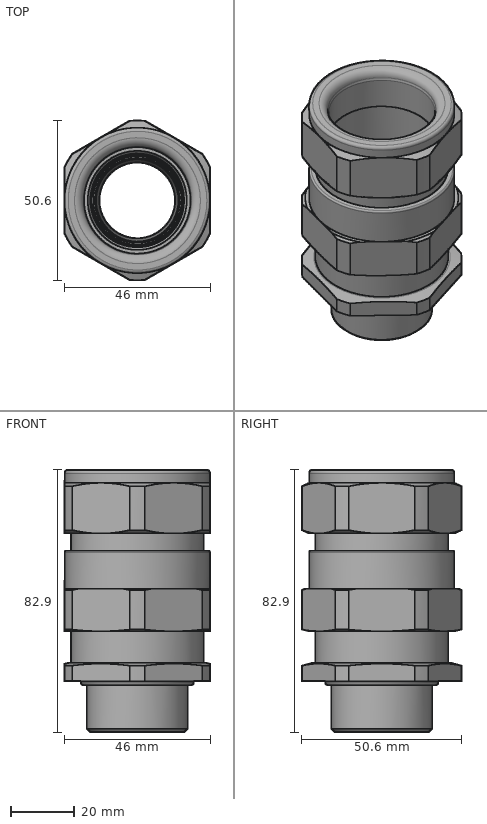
import cadquery as cq
import math

TOTAL_HEIGHT = 82.9
ACROSS_FLATS = 46.0
ACROSS_CORNERS = 50.6
FLAT_R = ACROSS_FLATS / 2
CORNER_R = ACROSS_CORNERS / 2
SPIGOT_R = 21.05
BORE_R = 16.8

THREAD_R = 16.0
THREAD_END_CHAMFER = 1.1
ENTRY_HEX_BOTTOM = 16.1
ENTRY_HEX_TOP = 22.0
ENTRY_CROWN_R = 21.55
ENTRY_CROWN_DROP = 1.0
ENTRY_BORE_R = 11.9
ENTRY_TOP = 44.8
MOUTH_R = 15.7
GROOVE_OUTER_R = 14.8
GROOVE_INNER_R = 14.5
RIM_OUTER_R = 14.0
RIM_INNER_R = 13.4
TAPER_TOP_R = 13.0
FUNNEL_SLOPE = 2.0

WASHER_R = 17.9
WASHER_BOTTOM = 14.75
WASHER_FILLET = 1.0

COUPLING_BOTTOM = 31.9
COUPLING_HEX_TOP = 45.35
COUPLING_TOP = 57.4
COUPLING_TOP_FILLET = 0.6
COUPLING_CROWN_R = 24.2
COUPLING_BASE_CROWN_R = 23.2
COUPLING_CROWN_DROP = 0.5
COUPLING_SPIGOT_TOP = 68.8

CAP_BOTTOM = 62.75
CAP_HEX_TOP = 78.75
CAP_CROWN_DROP = 1.1
CAP_TOP_FILLET = 1.1
BELL_RADIUS = 2.8
THROAT_R = 17.1
THROAT_TAPER_HEIGHT = 0.8


def cylinder(radius, bottom, top):
    return cq.Workplane("XY").workplane(offset=bottom).circle(radius).extrude(top - bottom)


def revolve_about_z(profile):
    """Turn a closed radius-height outline about the Z axis."""
    return profile.close().revolve(360, (0, 0, 0), (0, 1, 0))


def hexagon(bottom, top, crown_r, drop, base_r=None):
    """Hexagon with flats facing +-X and turned corners.

    A cone chamfers the top from crown_r down by drop; the base gets one too if base_r is given.
    """
    prism = (
        cq.Workplane("XY")
        .workplane(offset=bottom)
        .polygon(6, ACROSS_FLATS / math.cos(math.pi / 6))
        .extrude(top - bottom)
        .rotate((0, 0, 0), (0, 0, 1), 30)
    )
    base_points = [(CORNER_R, bottom)]
    if base_r is not None:
        base_points = [(base_r, bottom), (CORNER_R, bottom + drop)]
    top_points = [(CORNER_R, top - drop), (crown_r, top)]
    envelope = revolve_about_z(
        cq.Workplane("XZ").polyline([(0, bottom), *base_points, *top_points, (0, top)])
    )
    return prism.intersect(envelope)


def make_entry():
    """Threaded stub, hexagon and upper spigot with a stepped funnel bore."""
    thread = cylinder(THREAD_R, 0, ENTRY_HEX_BOTTOM).faces("<Z").chamfer(THREAD_END_CHAMFER)
    hexagon_part = hexagon(ENTRY_HEX_BOTTOM, ENTRY_HEX_TOP, ENTRY_CROWN_R, ENTRY_CROWN_DROP)
    spigot = cylinder(SPIGOT_R, ENTRY_HEX_TOP, ENTRY_TOP)

    groove_z = ENTRY_TOP - FUNNEL_SLOPE * (MOUTH_R - GROOVE_OUTER_R)
    rim_z = groove_z + (GROOVE_INNER_R - RIM_OUTER_R)
    taper_top_z = rim_z - (RIM_INNER_R - TAPER_TOP_R)
    bore = revolve_about_z(
        cq.Workplane("XZ").polyline(
            [
                (0, 0),
                (ENTRY_BORE_R, 0),
                (TAPER_TOP_R, taper_top_z),
                (RIM_INNER_R, rim_z),
                (RIM_OUTER_R, rim_z),
                (GROOVE_INNER_R, groove_z),
                (GROOVE_OUTER_R, groove_z),
                (MOUTH_R, ENTRY_TOP),
                (0, ENTRY_TOP),
            ]
        )
    )
    return thread.union(hexagon_part).union(spigot).cut(bore)


def make_washer():
    """Sealing washer around the thread, seated under the entry hexagon."""
    disc = cylinder(WASHER_R, WASHER_BOTTOM, ENTRY_HEX_BOTTOM).faces("<Z").edges().fillet(WASHER_FILLET)
    return disc.cut(cylinder(THREAD_R, WASHER_BOTTOM, ENTRY_HEX_BOTTOM))


def make_coupling():
    """Hexagon with a round collar and an upper spigot, socketed onto the entry spigot."""
    hexagon_part = hexagon(
        COUPLING_BOTTOM,
        COUPLING_HEX_TOP,
        COUPLING_CROWN_R,
        COUPLING_CROWN_DROP,
        COUPLING_BASE_CROWN_R,
    )
    collar = cylinder(FLAT_R, COUPLING_HEX_TOP, COUPLING_TOP).faces(">Z").edges().fillet(COUPLING_TOP_FILLET)
    spigot = cylinder(SPIGOT_R, COUPLING_TOP, COUPLING_SPIGOT_TOP)
    socket = cylinder(SPIGOT_R, COUPLING_BOTTOM, ENTRY_TOP)
    bore = cylinder(BORE_R, ENTRY_TOP, COUPLING_SPIGOT_TOP)
    return hexagon_part.union(collar).union(spigot).cut(socket).cut(bore)


def make_cap():
    """Cap nut with a bell-mouthed bore, socketed onto the coupling spigot."""
    hexagon_part = hexagon(CAP_BOTTOM, CAP_HEX_TOP, FLAT_R, CAP_CROWN_DROP, FLAT_R)
    head = cylinder(FLAT_R, CAP_HEX_TOP, TOTAL_HEIGHT).faces(">Z").edges().fillet(CAP_TOP_FILLET)
    socket = cylinder(SPIGOT_R, CAP_BOTTOM, COUPLING_SPIGOT_TOP)

    throat_z = TOTAL_HEIGHT - BELL_RADIUS
    mouth_r = THROAT_R + BELL_RADIUS
    arc_offset = BELL_RADIUS * math.sin(math.pi / 4)
    bore = revolve_about_z(
        cq.Workplane("XZ")
        .moveTo(0, COUPLING_SPIGOT_TOP)
        .lineTo(BORE_R, COUPLING_SPIGOT_TOP)
        .lineTo(BORE_R, throat_z - THROAT_TAPER_HEIGHT)
        .lineTo(THROAT_R, throat_z)
        .threePointArc((mouth_r - arc_offset, throat_z + arc_offset), (mouth_r, TOTAL_HEIGHT))
        .lineTo(0, TOTAL_HEIGHT)
    )
    return hexagon_part.union(head).cut(socket).cut(bore)


entry = make_entry()
washer = make_washer()
coupling = make_coupling()
cap = make_cap()

result = cq.Compound.makeCompound([entry.val(), washer.val(), coupling.val(), cap.val()])